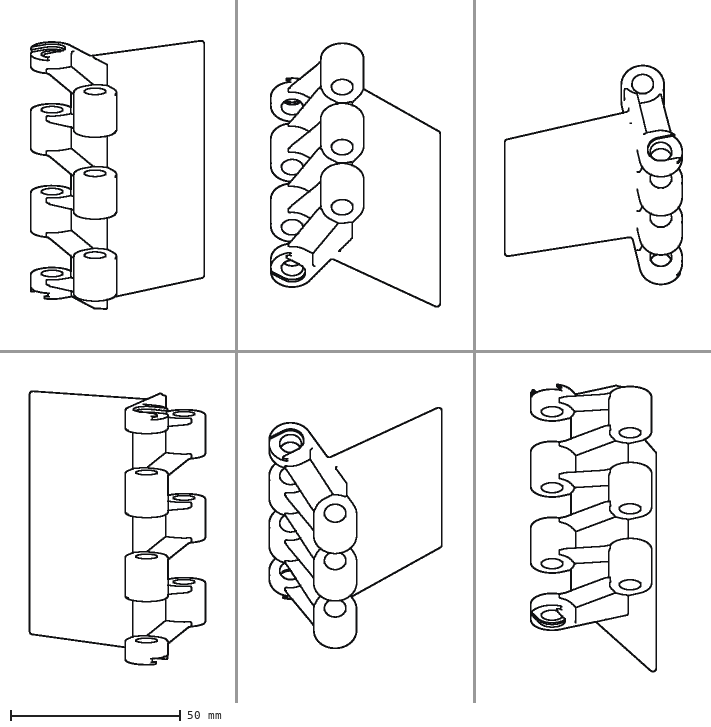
import cadquery as cq
import math


PITCH = 12.7
KNUCKLE_RADIUS = PITCH / 2
PIN_X = PITCH
PIN_HOLE_DIAMETER = 6.35
KNUCKLE_HALF_HEIGHT = 6.175
HALF_LENGTH = 38.0
LAST_KNUCKLE = 3
EDGE_RADIUS = 0.5

WALL_OUTER_Y = KNUCKLE_RADIUS
WALL_INNER_Y = 2.95
CLEARANCE_RADIUS = 6.55

WEB_THICKNESS = 1.55
WEB_INSET = 0.05
WEB_FRONT_Y = -4.6
WEB_BEND_X = 6.25
WEB_END_X = 8.3

BLADE_TIP_Y = 44.45
BLADE_DRAFT_DEGREES = 1.5
BLADE_BASE_HALF_WIDTH = 2.0
BLADE_BASE_HALF_LENGTH = 37.75
BLADE_EDGE_RADIUS = 1.0
BLADE_ROOT_RADIUS = 1.0
BLADE_ROOT_DEPTH = 1.5

SLOT_NECK_WIDTH = 7.8
SLOT_HEAD_WIDTH = 9.5
SLOT_LIP = 0.85
SLOT_DEPTH = 1.9


def knuckle_side(index):
    """Side of the part that a knuckle is on: odd ones are at -X, even ones at +X."""
    return -1 if index % 2 else 1


def knuckle_span(index):
    """Lower and upper Z of a knuckle; the end knuckles stop at the ends of the part."""
    middle = index * PITCH
    low = max(middle - KNUCKLE_HALF_HEIGHT, -HALF_LENGTH)
    high = min(middle + KNUCKLE_HALF_HEIGHT, HALF_LENGTH)
    return low, high


def knuckle(index):
    """Round knuckle with a square corner that reaches into the wall."""
    side = knuckle_side(index)
    low, high = knuckle_span(index)
    pin = side * PIN_X
    inner = side * (PIN_X - KNUCKLE_RADIUS)
    arc_x = pin + side * KNUCKLE_RADIUS * math.cos(math.pi / 4)
    arc_y = -KNUCKLE_RADIUS * math.sin(math.pi / 4)
    return (
        cq.Workplane("XY", origin=(0, 0, low))
        .moveTo(inner, 0)
        .lineTo(inner, WALL_OUTER_Y)
        .lineTo(pin, WALL_OUTER_Y)
        .threePointArc((arc_x, arc_y), (inner, 0))
        .close()
        .extrude(high - low)
        .faces("|Z")
        .edges()
        .fillet(EDGE_RADIUS)
    )


def wall():
    """Full-length wall with ends hollowed around both pins."""
    height = 2 * HALF_LENGTH
    base = cq.Workplane("XY", origin=(0, 0, -HALF_LENGTH))
    thickness = WALL_OUTER_Y - WALL_INNER_Y
    block = base.center(0, WALL_INNER_Y + thickness / 2).rect(2 * PIN_X, thickness).extrude(height)
    clearance = base.pushPoints([(-PIN_X, 0), (PIN_X, 0)]).circle(CLEARANCE_RADIUS).extrude(height)
    return block.cut(clearance).edges().fillet(EDGE_RADIUS)


def web(index):
    """Slanted web from the top of one knuckle to the bottom of the next one up."""
    side = knuckle_side(index)
    start_z = knuckle_span(index)[1] - WEB_INSET - WEB_THICKNESS
    end_z = knuckle_span(index + 1)[0] + WEB_INSET
    lower_line = [
        (side * WEB_END_X, start_z),
        (side * WEB_BEND_X, start_z),
        (-side * WEB_BEND_X, end_z),
        (-side * WEB_END_X, end_z),
    ]
    upper_line = [(x, z + WEB_THICKNESS) for x, z in reversed(lower_line)]
    wall_middle = (WALL_INNER_Y + WALL_OUTER_Y) / 2
    return (
        cq.Workplane("XZ", origin=(0, wall_middle, 0))
        .polyline(lower_line + upper_line)
        .close()
        .extrude(wall_middle - WEB_FRONT_Y)
        .faces("<Y")
        .edges("not |Z")
        .fillet(EDGE_RADIUS)
    )


def blade():
    """Blade that narrows towards its tip in both X and Z, with rounded edges."""
    root_y = WALL_OUTER_Y - BLADE_ROOT_DEPTH
    growth = BLADE_ROOT_DEPTH * math.tan(math.radians(BLADE_DRAFT_DEGREES))
    width = 2 * (BLADE_BASE_HALF_WIDTH + growth)
    length = 2 * (BLADE_BASE_HALF_LENGTH + growth)
    return (
        cq.Workplane("XZ", origin=(0, root_y, 0))
        .rect(width, length)
        .extrude(-(BLADE_TIP_Y - root_y), taper=BLADE_DRAFT_DEGREES)
        .edges("not <Y")
        .fillet(BLADE_EDGE_RADIUS)
    )


def open_slot(width, depth):
    """Round-bottomed slot around the -X pin, open towards -Y, at the upper end of the part."""
    run_out = 2 * KNUCKLE_RADIUS
    start = cq.Workplane("XY", origin=(-PIN_X, 0, HALF_LENGTH - depth))
    return start.circle(width / 2).extrude(depth).union(
        start.center(0, -run_out / 2).rect(width, run_out).extrude(depth)
    )


def pin_head_slot():
    """Slot with a narrow neck at the end face and a wider groove below it."""
    neck = open_slot(SLOT_NECK_WIDTH, SLOT_LIP)
    groove = open_slot(SLOT_HEAD_WIDTH, SLOT_DEPTH).cut(open_slot(SLOT_HEAD_WIDTH, SLOT_LIP))
    return neck.union(groove)


def pin_holes():
    """Both pin bores, along the whole length."""
    return (
        cq.Workplane("XY", origin=(0, 0, -HALF_LENGTH))
        .pushPoints([(-PIN_X, 0), (PIN_X, 0)])
        .circle(PIN_HOLE_DIAMETER / 2)
        .extrude(2 * HALF_LENGTH)
    )


def wall_with_blade():
    """Wall and blade joined, with a concave fillet along the blade root."""
    joined = wall().union(blade())
    root_zone = cq.selectors.BoxSelector(
        (-2 * BLADE_BASE_HALF_WIDTH, WALL_OUTER_Y - EDGE_RADIUS, -HALF_LENGTH),
        (2 * BLADE_BASE_HALF_WIDTH, WALL_OUTER_Y + EDGE_RADIUS, HALF_LENGTH),
        boundingbox=True,
    )
    return joined.edges(root_zone).fillet(BLADE_ROOT_RADIUS)


result = wall_with_blade()
for i in range(-LAST_KNUCKLE, LAST_KNUCKLE + 1):
    result = result.union(knuckle(i))
for i in range(-LAST_KNUCKLE, LAST_KNUCKLE):
    result = result.union(web(i))
slot = pin_head_slot()
result = result.cut(pin_holes()).cut(slot).cut(slot.mirror("XY"))